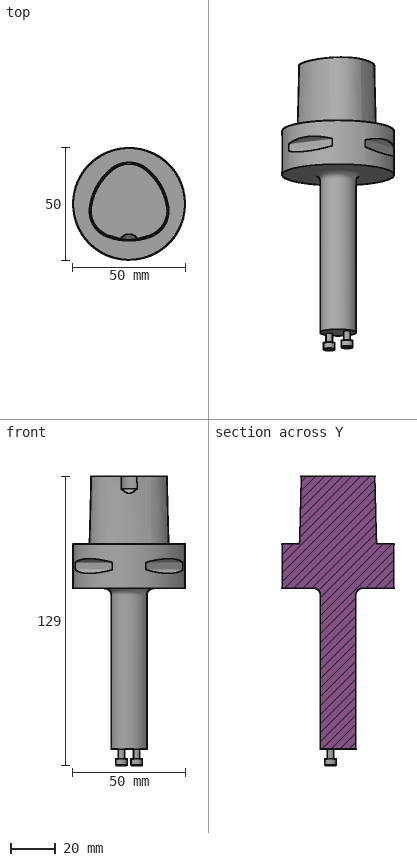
import cadquery as cq
import math

total_height = 129.0
shank_height = 30.0
flange_height = 20.0
screw_length = 7.4
flange_top_z = total_height - shank_height
flange_bottom_z = flange_top_z - flange_height

flange_diameter = 50.0
flange_chamfer = 0.19

lobe_radius = 12.4
flank_radius = 26.6
flank_half_angle = 22.0
taper_inset = shank_height / 40

notch_diameter = 8.0
notch_center_y = -17.4
notch_depth = 5.7
notch_cone_depth = 3.2

slot_count = 4
slot_floor_distance = 22.2
slot_mouth_height = 6.6
slot_side_angle = 30.0
slot_fillet = 0.5

bar_diameter = 16.0
bar_fillet = 3.0

screw_offset = 3.4
screw_diameter = 3.0
screw_head_diameter = 5.2
screw_head_height = 3.1
screw_head_chamfer = 0.4
screw_positions = [(-screw_offset, screw_offset), (screw_offset, -screw_offset)]


def polar(radius, degrees, center=(0, 0)):
    angle = math.radians(degrees)
    return (center[0] + radius * math.cos(angle), center[1] + radius * math.sin(angle))


def lobed_outline(workplane, inset):
    """Three lobes joined by tangent flank arcs, moved inward by inset."""
    center_scale = (flank_radius - lobe_radius) / math.sin(math.radians(120))
    lobe_center_distance = center_scale * math.sin(math.radians(flank_half_angle))
    flank_center_distance = center_scale * math.sin(math.radians(60 - flank_half_angle))
    lobe_half_angle = 60 - flank_half_angle
    lobe_arc_radius = lobe_radius - inset
    flank_arc_radius = flank_radius - inset

    def lobe_point(direction, turn):
        return polar(lobe_arc_radius, direction + turn, polar(lobe_center_distance, direction))

    outline = workplane.moveTo(*lobe_point(90, -lobe_half_angle))
    for direction in (90, 210, 330):
        flank_direction = direction + 60
        flank_center = polar(-flank_center_distance, flank_direction)
        flank_middle = polar(flank_arc_radius, flank_direction, flank_center)
        outline = outline.threePointArc(
            lobe_point(direction, 0), lobe_point(direction, lobe_half_angle)
        ).threePointArc(flank_middle, lobe_point(direction + 120, -lobe_half_angle))
    return outline.close()


def make_shank():
    base = lobed_outline(cq.Workplane("XY").workplane(offset=flange_top_z), 0)
    shank = lobed_outline(base.workplane(offset=shank_height), taper_inset).loft(ruled=True)
    return shank.cut(make_notch())


def make_notch():
    """Drilled notch with a conical bottom, open to the -Y flank."""
    radius = notch_diameter / 2
    rim_z = total_height - notch_depth
    return (
        cq.Workplane("XZ")
        .moveTo(0, total_height)
        .lineTo(radius, total_height)
        .lineTo(radius, rim_z)
        .lineTo(0, rim_z - notch_cone_depth)
        .close()
        .revolve(360, (0, 0, 0), (0, 1, 0))
        .translate((0, notch_center_y, 0))
    )


def make_slot_cutter():
    """Straight slot with flared sides and filleted floor corners, on the +X side of the flange."""
    rim_distance = flange_diameter / 2
    half_mouth = slot_mouth_height / 2
    slot_depth = rim_distance - slot_floor_distance
    half_floor = half_mouth - slot_depth * math.tan(math.radians(slot_side_angle))
    middle_z = (flange_top_z + flange_bottom_z) / 2
    return (
        cq.Workplane("XZ")
        .moveTo(slot_floor_distance, -half_floor)
        .lineTo(rim_distance, -half_mouth)
        .lineTo(rim_distance, half_mouth)
        .lineTo(slot_floor_distance, half_floor)
        .close()
        .extrude(rim_distance, both=True)
        .faces("<X")
        .edges("|Y")
        .fillet(slot_fillet)
        .translate((0, 0, middle_z))
    )


def make_flange():
    flange = (
        cq.Workplane("XY")
        .workplane(offset=flange_bottom_z)
        .circle(flange_diameter / 2)
        .extrude(flange_height)
        .faces(">Z")
        .edges()
        .chamfer(flange_chamfer)
    )
    pitch = 360 / slot_count
    for index in range(slot_count):
        angle = (index + 0.5) * pitch
        flange = flange.cut(make_slot_cutter().rotate((0, 0, 0), (0, 0, 1), angle))
    return flange


def make_bar():
    """Cylindrical bar flaring with a concave fillet into the flange."""
    radius = bar_diameter / 2
    arc_center = (radius + bar_fillet, flange_bottom_z - bar_fillet)
    return (
        cq.Workplane("XZ")
        .moveTo(0, screw_length)
        .lineTo(radius, screw_length)
        .lineTo(radius, flange_bottom_z - bar_fillet)
        .threePointArc(polar(bar_fillet, 135, arc_center), (radius + bar_fillet, flange_bottom_z))
        .lineTo(0, flange_bottom_z)
        .close()
        .revolve(360, (0, 0, 0), (0, 1, 0))
    )


def make_screws():
    heads = (
        cq.Workplane("XY")
        .pushPoints(screw_positions)
        .circle(screw_head_diameter / 2)
        .extrude(screw_head_height)
        .faces("<Z")
        .edges()
        .chamfer(screw_head_chamfer)
    )
    stems = (
        cq.Workplane("XY")
        .workplane(offset=screw_head_height)
        .pushPoints(screw_positions)
        .circle(screw_diameter / 2)
        .extrude(screw_length - screw_head_height)
    )
    return heads.union(stems)


result = make_flange().union(make_shank()).union(make_bar()).union(make_screws())